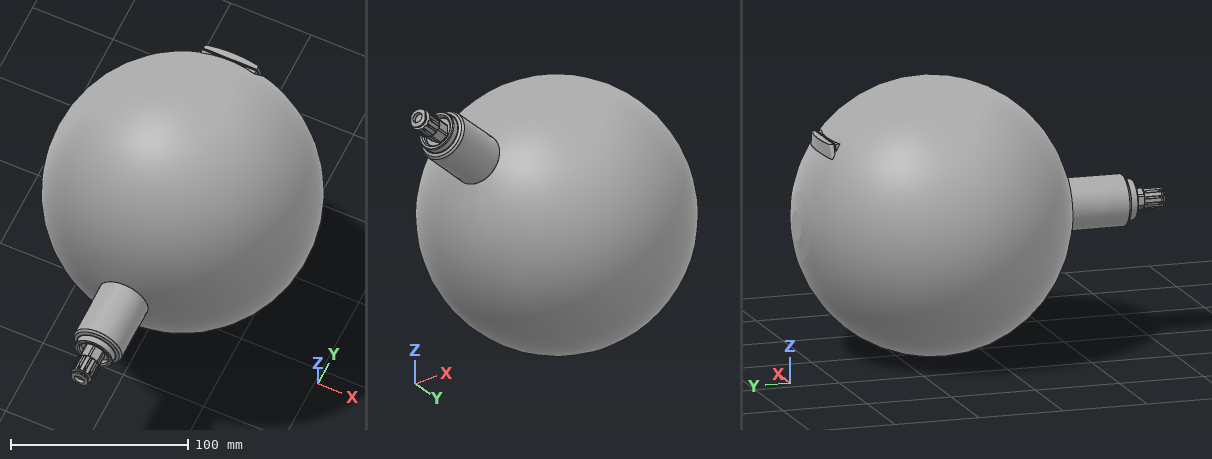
import cadquery as cq
import math


overall_length = 218.0

ball_radius = 80.0
cap_diameter = 38.8
cap_flat_diameter = 17.0

tab_top_z = 50.4
tab_top_width = 33.5
tab_flank_angle = 20.0
tab_depth = 17.5
tab_back_y = 67.5
tab_back_radius = ball_radius
tab_front_y = 56.7
tab_groove_y = 62.8
tab_groove_width = 0.9
tab_groove_depth = 0.7
tab_corner_radius = 1.3

neck_root_diameter = 30.3
collar_diameter = 30.0
collar_start_y = -104.0
collar_end_y = -113.1
bevel_diameter = 28.0
bevel_end_y = -114.5
shoulder_diameter = 24.5
shoulder_y = -115.1
nose_diameter = 23.5
nose_end_y = -119.5
nose_chamfer = 0.55
bore_diameter = 17.9
bore_depth = 3.3
bore_chamfer = 0.9

hexagon_across_flats = 11.3
hexagon_end_y = -125.0
spline_diameter = 14.4
spline_root_diameter = 12.5
spline_end_y = -135.2
spline_chamfer = 1.0
slot_count = 12
slot_width = 2.5
ring_groove_y = -133.5
ring_groove_width = 0.7
ring_groove_diameter = 13.0
tip_neck_diameter = 8.7
tip_diameter = 11.3
tip_start_y = -136.7
tip_across_flats = 10.0
tip_cone_height = 0.5
tip_hole_diameter = 6.0
tip_hole_depth = 2.2

shaft_start_y = nose_end_y + bore_depth
shaft_end_y = ball_radius - overall_length


def ball_height(diameter):
    """Distance along Y from the ball centre to the circle of this diameter on the ball."""
    return math.sqrt(ball_radius**2 - (diameter / 2) ** 2)


stem_start_y = -ball_height(neck_root_diameter)


def turned(profile):
    """Solid of revolution about Y from a half section of (y, radius) points."""
    return profile.close().revolve(360, (0, 0, 0), (1, 0, 0))


def profile_start():
    """Plane for half sections: its first axis is Y and its second is the radius."""
    return cq.Workplane(cq.Plane(origin=(0, 0, 0), xDir=(0, 1, 0), normal=(-1, 0, 0)))


def rod(diameter, start_y, end_y):
    """Cylinder on the Y axis, running toward -Y from start_y to end_y."""
    return cq.Workplane("XZ", origin=(0, start_y, 0)).circle(diameter / 2).extrude(start_y - end_y)


def make_ball():
    """Ball with a flat seat for the stem and a shallow conical cap with a flat pole."""
    return turned(
        profile_start()
        .moveTo(stem_start_y, 0)
        .lineTo(stem_start_y, neck_root_diameter / 2)
        .threePointArc((0, ball_radius), (ball_height(cap_diameter), cap_diameter / 2))
        .lineTo(ball_radius, cap_flat_diameter / 2)
        .lineTo(ball_radius, 0)
    )


def tab_block(inset):
    """Block with sloping flanks and a rounded back, its top and flanks set in by inset."""
    lean = math.tan(math.radians(tab_flank_angle))
    top_half = tab_top_width / 2 - inset
    bottom_half = top_half + tab_depth * lean
    top_z = tab_top_z - inset
    bottom_z = top_z - tab_depth
    block = (
        cq.Workplane("XZ", origin=(0, tab_back_y, 0))
        .polyline([(-top_half, top_z), (top_half, top_z), (bottom_half, bottom_z), (-bottom_half, bottom_z)])
        .close()
        .extrude(tab_back_y - tab_front_y)
    )
    rounded_back = (
        cq.Workplane("XY").center(0, tab_back_y - tab_back_radius).circle(tab_back_radius).extrude(tab_top_z)
    )
    return block.intersect(rounded_back)


def make_tab(ball):
    """Tab with rounded rear corners and a groove over its top and flanks, fitted onto the ball."""
    tab = tab_block(0).faces(">Y").edges("<X or >X").fillet(tab_corner_radius)
    groove = (
        cq.Workplane("XY", origin=(0, tab_groove_y, tab_top_z))
        .box(2 * tab_top_width, tab_groove_width, 2 * tab_depth)
        .cut(tab_block(tab_groove_depth))
    )
    return tab.cut(groove).cut(ball)


def make_stem():
    """Tapered neck, bevelled collar and a nose whose bore takes the shaft."""
    nose_radius = nose_diameter / 2
    bore_radius = bore_diameter / 2
    return turned(
        profile_start().polyline([
            (stem_start_y, 0),
            (stem_start_y, neck_root_diameter / 2),
            (collar_start_y, collar_diameter / 2),
            (collar_end_y, collar_diameter / 2),
            (bevel_end_y, bevel_diameter / 2),
            (shoulder_y, shoulder_diameter / 2),
            (shoulder_y, nose_radius),
            (nose_end_y + nose_chamfer, nose_radius),
            (nose_end_y, nose_radius - nose_chamfer),
            (nose_end_y, bore_radius + bore_chamfer),
            (nose_end_y + bore_chamfer, bore_radius),
            (shaft_start_y, bore_radius),
            (shaft_start_y, 0),
        ])
    )


def make_hexagon():
    """Hexagon with flats facing -X and +X, its corners turned down to the spline root."""
    hexagon = (
        cq.Workplane("XZ", origin=(0, shaft_start_y, 0))
        .polygon(6, hexagon_across_flats, circumscribed=True)
        .extrude(shaft_start_y - hexagon_end_y)
    )
    return hexagon.intersect(rod(spline_root_diameter, shaft_start_y, hexagon_end_y))


def make_spline():
    """Chamfered cylinder with lengthwise slots and a shallower ring groove near its end."""
    spline = rod(spline_diameter, hexagon_end_y, spline_end_y).faces(">Y").chamfer(spline_chamfer)
    length = hexagon_end_y - spline_end_y
    middle_y = (hexagon_end_y + spline_end_y) / 2
    tooth_height = (spline_diameter - spline_root_diameter) / 2
    slot = cq.Workplane("XY", origin=(spline_diameter / 2, middle_y, 0))
    slot = slot.box(2 * tooth_height, length, slot_width)
    for index in range(slot_count):
        spline = spline.cut(slot.rotate((0, 0, 0), (0, 1, 0), index * 360 / slot_count))
    ring_end_y = ring_groove_y - ring_groove_width
    ring = rod(spline_diameter, ring_groove_y, ring_end_y)
    ring_floor = rod(ring_groove_diameter, ring_groove_y, ring_end_y)
    return spline.cut(ring.cut(ring_floor))


def make_tip():
    """Narrow neck and a disc with two flats facing -X and +X and a shallow conical end."""
    neck = rod(tip_neck_diameter, spline_end_y, tip_start_y)
    disc = turned(
        profile_start().polyline([
            (tip_start_y, 0),
            (tip_start_y, tip_diameter / 2),
            (shaft_end_y + tip_cone_height, tip_diameter / 2),
            (shaft_end_y, tip_hole_diameter / 2),
            (shaft_end_y, 0),
        ])
    )
    flats = cq.Workplane("XY", origin=(0, shaft_end_y, 0)).box(tip_across_flats, tip_diameter, tip_diameter)
    hole = rod(tip_hole_diameter, shaft_end_y + tip_hole_depth, shaft_end_y)
    return neck.union(disc.intersect(flats)).cut(hole)


def make_shaft():
    """Hexagon, spline and tip joined end to end."""
    return make_hexagon().union(make_spline()).union(make_tip())


ball = make_ball()
tab = make_tab(ball)
stem = make_stem()
shaft = make_shaft()

result = cq.Compound.makeCompound([
    ball.val(),
    tab.solids().val(),
    stem.val(),
    shaft.solids().val(),
])